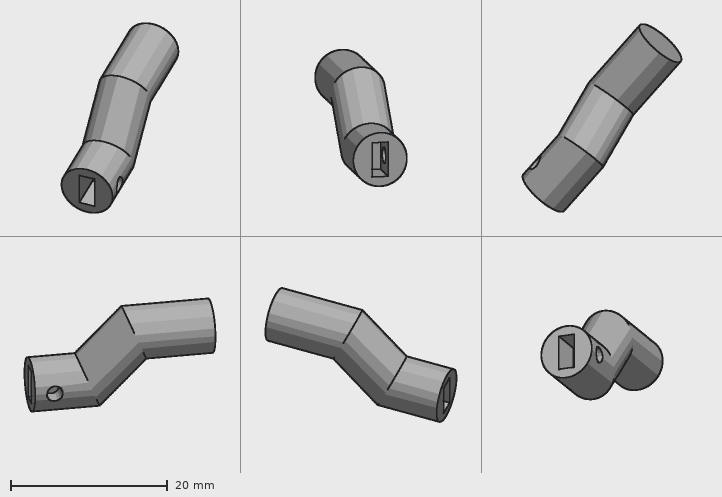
import cadquery as cq
import math

length = 23.5
diameter = 7.0
height = 13.1
bend_angle = 45.0
front_bend = 7.47

slot_width = 2.1
slot_height = 4.46
slot_depth = 4.7

hole_diameter = 2.07
hole_from_front = 2.55

radius = diameter / 2
axis_rise = height - diameter
rear_bend = front_bend + axis_rise / math.tan(math.radians(bend_angle))


def bent_bar():
    """Round bar along Y with two mitred bends, lower end centred on the origin."""
    path = cq.Workplane("YZ").polyline(
        [(0, 0), (front_bend, 0), (rear_bend, axis_rise), (length, axis_rise)]
    )
    return cq.Workplane("XZ").circle(radius).sweep(path, transition="right")


def front_slot():
    return cq.Workplane("XY").box(
        slot_width, slot_depth, slot_height, centered=(True, False, True)
    )


def side_hole():
    return (
        cq.Workplane("YZ")
        .center(hole_from_front, 0)
        .circle(hole_diameter / 2)
        .extrude(radius)
    )


result = bent_bar().cut(front_slot()).cut(side_hole())